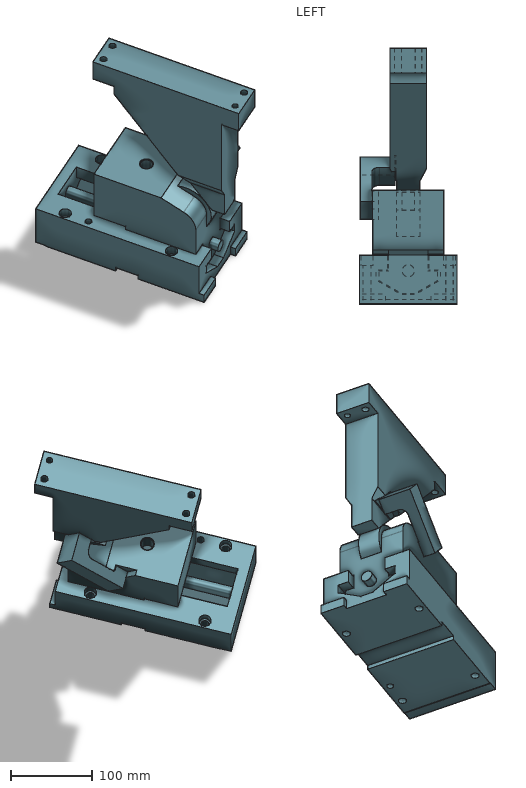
import cadquery as cq
import math


TILT = 40.0
CLEARANCE = 1.3

BASE_LENGTH = 223.5
BASE_WIDTH = 120.0
BASE_HEIGHT = 60.5
FOOT_LENGTH = 7.0
FOOT_HEIGHT = 13.0
FOOT_GAP = 55.5
RELIEF_LENGTH = 14.0
RELIEF_HEIGHT = 1.0
KEYWAY_START = 109.3
KEYWAY_LENGTH = 30.5
KEYWAY_HEIGHT = 6.0

CHANNEL_START = 14.0
CHANNEL_WIDTH = 51.0
LIP_DEPTH = 18.3
UNDERCUT_WIDTH = 79.5
FLOOR_DEPTH = 48.5
FLOOR_WIDTH = 16.7
FLOOR_SLOPE = 30.0

BOLT_DIAMETER = 9.8
BOLT_HEAD_DIAMETER = 14.8
BOLT_HEAD_DEPTH = 12.5
BOLT_X = (36.0, 181.5)
BOLT_Y = 50.7
DOWEL_DIAMETER = 8.2
DOWEL_X = 67.7

SCREW_DIAMETER = 14.8
SCREW_DEPTH = 19.2
SCREW_END_GAP = 1.0

SLIDE_START = 71.8
SLIDE_END = 211.5
SLIDE_WIDTH = 88.0
SLIDE_TOP = 140.5
SLIDE_UNDERSIDE = 66.8
PAD_START = 115.0
PAD_BOTTOM = 61.7
TONGUE_START = 94.8
HEAD_WIDTH = 71.8
CREST_X = 163.8
CREST_SLOPE = 20.0
CREST_RADIUS = 25.2
SLIDE_HOLE_DIAMETER = 15.0
SLIDE_HOLE_CHAMFER = 1.0
SLIDE_HOLE_DEPTH = 25.2
SLIDE_HOLE_SETBACK = 50.5

PLATE_START = 60.0
PLATE_END = 259.5
PLATE_THICKNESS = 30.5
BRACKET_WIDTH = 45.0
BRACKET_TOP = 315.0
BRACKET_BOTTOM = 116.2
BODY_START = 88.5
BODY_END = 236.2
RAMP_FOOT_X = 218.5
WEB_WIDTH = 28.5
TAPER_TOP = 166.5
TAPER_BOTTOM = 151.2
PLATE_HOLE_DIAMETER = 8.5
SMALL_PLATE_HOLE_DIAMETER = 7.2
PLATE_HOLE_INSET = 9.8
PLATE_HOLE_Y = 12.5

NOSE_RADIUS = 35.3
NOSE_X = 182.7
NOSE_Z = 104.0

HOOK_X = 137.5
HOOK_Z = 126.5
HOOK_LENGTH = 85.0
HOOK_THICKNESS = 29.0
HOOK_LEG = 20.0
HOOK_OUTER_Y = 59.2
HOOK_INNER_Y = 44.7
TOE_Y = 36.5
UPPER_LEG_Y = 16.0
HOOK_FILLET = 9.5

COS_TILT = math.cos(math.radians(TILT))
SIN_TILT = math.sin(math.radians(TILT))
HOOK_PLANE = cq.Plane(
    origin=(HOOK_X, 0, HOOK_Z), xDir=(COS_TILT, 0, SIN_TILT), normal=(-SIN_TILT, 0, COS_TILT)
)


def box(x0, x1, y0, y1, z0, z1):
    """Box between two opposite corners."""
    return cq.Workplane("XY").box(x1 - x0, y1 - y0, z1 - z0, centered=False).translate((x0, y0, z0))


def centered_box(x0, x1, width, z0, z1):
    """Box placed evenly about the middle plane."""
    return box(x0, x1, -width / 2, width / 2, z0, z1)


def side_profile(points, width):
    """Outline in X and Z, extruded evenly about the middle plane."""
    return cq.Workplane("XZ").polyline(points).close().extrude(width / 2, both=True)


def tee_profile(x0, x1, top, neck_half, head_top, head_half, floor_z):
    """T-shaped bar along X whose head ends in a V with a flat floor."""
    floor_half = FLOOR_WIDTH / 2
    side_z = floor_z + (head_half - floor_half) * math.tan(math.radians(FLOOR_SLOPE))
    right_half = [
        (floor_half, floor_z), (head_half, side_z), (head_half, head_top),
        (neck_half, head_top), (neck_half, top),
    ]
    left_half = [(-y, z) for y, z in reversed(right_half)]
    return (
        cq.Workplane("YZ", origin=(x0, 0, 0)).polyline(right_half + left_half).close().extrude(x1 - x0)
    )


def screw_bar(x0, x1):
    """Round bar on the axis of the screw."""
    center = (0, BASE_HEIGHT - SCREW_DEPTH)
    return cq.Workplane("YZ", origin=(x0, 0, 0)).center(*center).circle(SCREW_DIAMETER / 2).extrude(x1 - x0)


def make_base():
    base = centered_box(0, BASE_LENGTH, BASE_WIDTH, 0, BASE_HEIGHT)
    foot_end = BASE_LENGTH + FOOT_LENGTH
    foot = centered_box(BASE_LENGTH, foot_end, BASE_WIDTH, 0, FOOT_HEIGHT)
    base = base.union(foot.cut(centered_box(BASE_LENGTH, foot_end, FOOT_GAP, 0, FOOT_HEIGHT)))
    base = base.cut(centered_box(0, RELIEF_LENGTH, BASE_WIDTH, 0, RELIEF_HEIGHT))
    keyway_end = KEYWAY_START + KEYWAY_LENGTH
    base = base.cut(centered_box(KEYWAY_START, keyway_end, BASE_WIDTH, 0, KEYWAY_HEIGHT))

    base = base.cut(
        tee_profile(
            CHANNEL_START, BASE_LENGTH, BASE_HEIGHT, CHANNEL_WIDTH / 2,
            BASE_HEIGHT - LIP_DEPTH, UNDERCUT_WIDTH / 2, BASE_HEIGHT - FLOOR_DEPTH,
        )
    )

    top_plane = cq.Workplane("XY", origin=(0, 0, BASE_HEIGHT))
    bolt_points = [(x, y) for x in BOLT_X for y in (-BOLT_Y, BOLT_Y)]
    base = base.cut(top_plane.pushPoints(bolt_points).circle(BOLT_DIAMETER / 2).extrude(-BASE_HEIGHT))
    base = base.cut(
        top_plane.pushPoints(bolt_points).circle(BOLT_HEAD_DIAMETER / 2).extrude(-BOLT_HEAD_DEPTH)
    )
    return base.cut(top_plane.center(DOWEL_X, -BOLT_Y).circle(DOWEL_DIAMETER / 2).extrude(-BASE_HEIGHT))


def make_screw():
    return screw_bar(CHANNEL_START + SCREW_END_GAP, BASE_LENGTH)


def make_nose():
    """Disc as wide as the web of the bracket."""
    return (
        cq.Workplane("XZ").center(NOSE_X, NOSE_Z).circle(NOSE_RADIUS).extrude(WEB_WIDTH / 2, both=True)
    )


def make_slide():
    crest_end_z = SLIDE_TOP - (SLIDE_END - CREST_X) * math.tan(math.radians(CREST_SLOPE))
    block = side_profile(
        [
            (SLIDE_START, SLIDE_UNDERSIDE), (PAD_START, SLIDE_UNDERSIDE), (PAD_START, PAD_BOTTOM),
            (SLIDE_END, PAD_BOTTOM), (SLIDE_END, crest_end_z), (CREST_X, SLIDE_TOP),
            (SLIDE_START, SLIDE_TOP),
        ],
        SLIDE_WIDTH,
    )
    crest_corner = cq.selectors.NearestToPointSelector((SLIDE_END, 0, crest_end_z))
    block = block.edges(crest_corner).fillet(CREST_RADIUS)

    tongue = tee_profile(
        TONGUE_START, SLIDE_END, SLIDE_UNDERSIDE, CHANNEL_WIDTH / 2 - CLEARANCE,
        BASE_HEIGHT - LIP_DEPTH - CLEARANCE, HEAD_WIDTH / 2, BASE_HEIGHT - FLOOR_DEPTH + CLEARANCE,
    )
    slide = block.union(tongue).union(make_nose()).cut(screw_bar(TONGUE_START, SLIDE_END))

    hole_x = SLIDE_START + SLIDE_HOLE_SETBACK
    hole_plane = cq.Workplane("XY", origin=(hole_x, 0, SLIDE_TOP))
    hole = hole_plane.circle(SLIDE_HOLE_DIAMETER / 2).extrude(-SLIDE_HOLE_DEPTH)
    mouth_radius = SLIDE_HOLE_DIAMETER / 2 + SLIDE_HOLE_CHAMFER
    countersink = hole_plane.circle(mouth_radius).extrude(-SLIDE_HOLE_CHAMFER, taper=45)
    slide = slide.cut(hole).cut(countersink)

    toe_slot = (
        cq.Workplane(HOOK_PLANE)
        .workplane(offset=-HOOK_THICKNESS)
        .rect(HOOK_LEG, HOOK_INNER_Y - TOE_Y, centered=False)
        .extrude(SLIDE_WIDTH)
        .translate((0, TOE_Y, 0))
    )
    return slide.cut(toe_slot)


def make_hook():
    upper_leg_start = HOOK_LENGTH - HOOK_LEG
    outline = [
        (0, TOE_Y), (HOOK_LEG, TOE_Y), (HOOK_LEG, HOOK_INNER_Y), (upper_leg_start, HOOK_INNER_Y),
        (upper_leg_start, UPPER_LEG_Y), (HOOK_LENGTH, UPPER_LEG_Y), (HOOK_LENGTH, HOOK_OUTER_Y),
        (0, HOOK_OUTER_Y),
    ]
    hook = cq.Workplane(HOOK_PLANE).polyline(outline).close().extrude(-HOOK_THICKNESS)
    inner_corner = HOOK_PLANE.toWorldCoords((upper_leg_start, HOOK_INNER_Y, -HOOK_THICKNESS / 2))
    return hook.edges(cq.selectors.NearestToPointSelector(inner_corner)).fillet(HOOK_FILLET)


def taper_cut(side):
    """Material removed to thin one side of the bracket down to its web."""
    outer_y = side * BRACKET_WIDTH / 2
    web_y = side * WEB_WIDTH / 2
    outline = [
        (outer_y, TAPER_TOP), (web_y, TAPER_BOTTOM), (web_y, BRACKET_BOTTOM), (outer_y, BRACKET_BOTTOM),
    ]
    return (
        cq.Workplane("YZ", origin=(BODY_START, 0, 0)).polyline(outline).close().extrude(BODY_END - BODY_START)
    )


def make_bracket():
    plate_bottom = BRACKET_TOP - PLATE_THICKNESS
    ramp_top_z = BRACKET_BOTTOM + (RAMP_FOOT_X - BODY_START) * COS_TILT / SIN_TILT
    bracket = side_profile(
        [
            (PLATE_START, BRACKET_TOP), (PLATE_START, plate_bottom), (BODY_START, plate_bottom),
            (BODY_START, ramp_top_z), (RAMP_FOOT_X, BRACKET_BOTTOM), (BODY_END, BRACKET_BOTTOM),
            (BODY_END, plate_bottom), (PLATE_END, plate_bottom), (PLATE_END, BRACKET_TOP),
        ],
        BRACKET_WIDTH,
    )
    for side in (-1, 1):
        bracket = bracket.cut(taper_cut(side))

    notch_length = HOOK_LENGTH + CLEARANCE
    notch_width = HOOK_OUTER_Y - UPPER_LEG_Y + CLEARANCE
    notch = (
        cq.Workplane(HOOK_PLANE)
        .workplane(offset=CLEARANCE)
        .rect(notch_length, notch_width, centered=False)
        .extrude(-2 * HOOK_THICKNESS)
        .translate((0, UPPER_LEG_Y - CLEARANCE, 0))
    )
    bracket = bracket.cut(notch)

    left_x = PLATE_START + PLATE_HOLE_INSET
    right_x = PLATE_END - PLATE_HOLE_INSET
    large_points = [(left_x, -PLATE_HOLE_Y), (left_x, PLATE_HOLE_Y), (right_x, PLATE_HOLE_Y)]
    top_plane = cq.Workplane("XY", origin=(0, 0, BRACKET_TOP))
    bracket = bracket.cut(
        top_plane.pushPoints(large_points).circle(PLATE_HOLE_DIAMETER / 2).extrude(-PLATE_THICKNESS)
    )
    small_hole = top_plane.center(right_x, -PLATE_HOLE_Y).circle(SMALL_PLATE_HOLE_DIAMETER / 2)
    return bracket.cut(small_hole.extrude(-PLATE_THICKNESS))


base = make_base()
screw = make_screw()
slide = make_slide()
hook = make_hook()
bracket = make_bracket()

bodies = (base, screw, slide, hook, bracket)
result = cq.Compound.makeCompound([body.solids().val() for body in bodies])